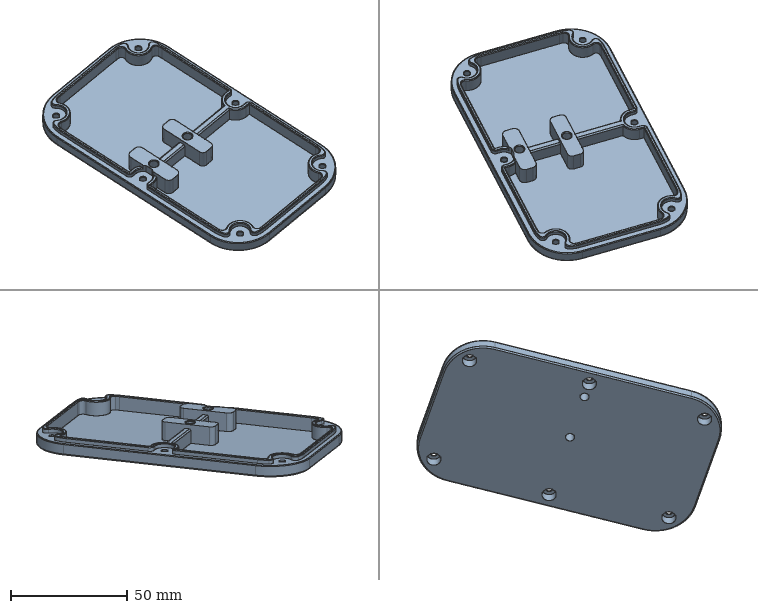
import cadquery as cq
import math

LENGTH = 124.0
WIDTH = 72.0
CORNER_RADIUS = 18.0
BASE_HEIGHT = 5.2
BASE_TOP_CHAMFER = 0.4
BASE_BOTTOM_CHAMFER = 0.6
FLOOR_THICKNESS = 0.7

LIP_TOP = 7.2
LIP_INSET = 2.5
LIP_WALL = 1.5
LIP_CHAMFER = 0.4

POCKET_INSET = LIP_INSET + LIP_WALL

SCREW_DIAMETER = 3.0
SCREW_HEAD_DIAMETER = 6.1
SCREW_HEAD_DEPTH = 4.6
BOSS_RADIUS = 6.1
RECESS_RADIUS = 4.3
NOTCH_BLEND = 1.9
CORNER_SCREW_X = 52.7
CORNER_SCREW_Y = 26.7
MIDDLE_SCREW_Y = 30.0
CORNER_SCREWS = [(sx * CORNER_SCREW_X, sy * CORNER_SCREW_Y) for sx in (-1, 1) for sy in (-1, 1)]
MIDDLE_SCREWS = [(0, -MIDDLE_SCREW_Y), (0, MIDDLE_SCREW_Y)]

RIB_THICKNESS = 3.3
RIB_CHAMFER = 0.6

POST_TOP = 9.0
POST_LENGTH = 24.3
POST_BORE = 3.8
POST_COUNTERSINK = 0.4
CENTER_POST_Y = -1.1
CENTER_POST_WIDTH = 7.2
CENTER_POST_RADIUS = 2.0
EDGE_POST_Y = -23.0
EDGE_POST_WIDTH = 7.6
EDGE_POST_RADIUS = 2.4
POST_CENTERS = [(0, CENTER_POST_Y), (0, EDGE_POST_Y)]

TOLERANCE = 0.001


def rounded_block(length, width, radius, bottom, top):
    """Upright block with rounded vertical corners, centred on the origin."""
    block = cq.Workplane("XY").workplane(offset=bottom).rect(length, width).extrude(top - bottom)
    return block.edges("|Z").fillet(radius)


def cylinders(points, radius, bottom, top):
    return cq.Workplane("XY").workplane(offset=bottom).pushPoints(points).circle(radius).extrude(top - bottom)


def notched_block(inset, notch_radius, bottom, top):
    """Block set in from the base outline, notched around all six screws."""
    length = LENGTH - 2 * inset
    width = WIDTH - 2 * inset
    block = rounded_block(length, width, CORNER_RADIUS - inset, bottom, top)
    block = block.cut(cylinders(CORNER_SCREWS, notch_radius, bottom, top))

    def at_corner_notch(edge):
        spot = edge.Center()
        gaps = [math.hypot(spot.x - x, spot.y - y) for x, y in CORNER_SCREWS]
        return abs(min(gaps) - notch_radius) < TOLERANCE

    block = block.edges("|Z").filter(at_corner_notch).fillet(NOTCH_BLEND)

    block = block.cut(cylinders(MIDDLE_SCREWS, notch_radius, bottom, top))
    for x, y in MIDDLE_SCREWS:
        flank_center = (x, math.copysign(WIDTH / 2, y))
        flanks = cq.Workplane("XY").workplane(offset=bottom).center(*flank_center)
        flanks = flanks.rect(2 * notch_radius, WIDTH - 2 * MIDDLE_SCREW_Y).extrude(top - bottom)
        block = block.cut(flanks)
    return block


def make_base():
    base = rounded_block(LENGTH, WIDTH, CORNER_RADIUS, 0, BASE_HEIGHT)
    base = base.faces(">Z").edges().chamfer(BASE_TOP_CHAMFER)
    return base.faces("<Z").edges().chamfer(BASE_BOTTOM_CHAMFER)


def make_pocket():
    return notched_block(POCKET_INSET, BOSS_RADIUS, FLOOR_THICKNESS, LIP_TOP)


def make_lip(pocket):
    """Wall between the pocket and a slightly larger outline, chamfered on top."""
    lip = notched_block(LIP_INSET, RECESS_RADIUS, FLOOR_THICKNESS, LIP_TOP)

    def at_middle_recess_mouth(edge):
        spot = edge.Center()
        on_flank = abs(abs(spot.x) - RECESS_RADIUS) < TOLERANCE
        on_long_side = abs(abs(spot.y) - (WIDTH / 2 - LIP_INSET)) < TOLERANCE
        return on_flank and on_long_side

    lip = lip.edges("|Z").filter(at_middle_recess_mouth).fillet(NOTCH_BLEND)
    return lip.cut(pocket).faces(">Z").edges().chamfer(LIP_CHAMFER)


def make_rib():
    """Bar between the two middle bosses, ending halfway through their walls."""
    rib_length = 2 * MIDDLE_SCREW_Y - BOSS_RADIUS - RECESS_RADIUS
    rib = cq.Workplane("XY").rect(RIB_THICKNESS, rib_length).extrude(LIP_TOP)
    return rib.faces(">Z").edges("|Y").chamfer(RIB_CHAMFER)


def make_post(y, width, radius):
    return rounded_block(POST_LENGTH, width, radius, 0, POST_TOP).translate((0, y, 0))


def make_post_recess():
    """Front middle recess carried up through the edge post, ending in a flat as wide as the rib."""
    recess = cylinders([(0, -MIDDLE_SCREW_Y)], RECESS_RADIUS, BASE_HEIGHT, POST_TOP)
    flat_distance = math.sqrt(RECESS_RADIUS**2 - (RIB_THICKNESS / 2) ** 2)
    flat_y = -MIDDLE_SCREW_Y + flat_distance
    beyond_flat = cq.Workplane("XY").center(0, flat_y + RECESS_RADIUS / 2)
    return recess.cut(beyond_flat.rect(2 * RECESS_RADIUS, RECESS_RADIUS).extrude(POST_TOP))


def make_screw_holes():
    """Clearance holes with screw head counterbores in the underside."""
    points = CORNER_SCREWS + MIDDLE_SCREWS
    holes = cylinders(points, SCREW_DIAMETER / 2, 0, BASE_HEIGHT)
    return holes.union(cylinders(points, SCREW_HEAD_DIAMETER / 2, 0, SCREW_HEAD_DEPTH))


def make_post_holes():
    """Through bores, each with a small countersink at the top of its post."""
    holes = cylinders(POST_CENTERS, POST_BORE / 2, 0, POST_TOP)
    for x, y in POST_CENTERS:
        countersink = cq.Solid.makeCone(
            POST_BORE / 2,
            POST_BORE / 2 + POST_COUNTERSINK,
            POST_COUNTERSINK,
            pnt=cq.Vector(x, y, POST_TOP - POST_COUNTERSINK),
        )
        holes = holes.union(cq.Workplane(countersink))
    return holes


pocket = make_pocket()
tray = make_base().cut(pocket).union(make_lip(pocket)).union(make_rib())

center_post = make_post(CENTER_POST_Y, CENTER_POST_WIDTH, CENTER_POST_RADIUS)
edge_post = make_post(EDGE_POST_Y, EDGE_POST_WIDTH, EDGE_POST_RADIUS).cut(make_post_recess())

result = tray.union(center_post).union(edge_post).cut(make_screw_holes()).cut(make_post_holes())